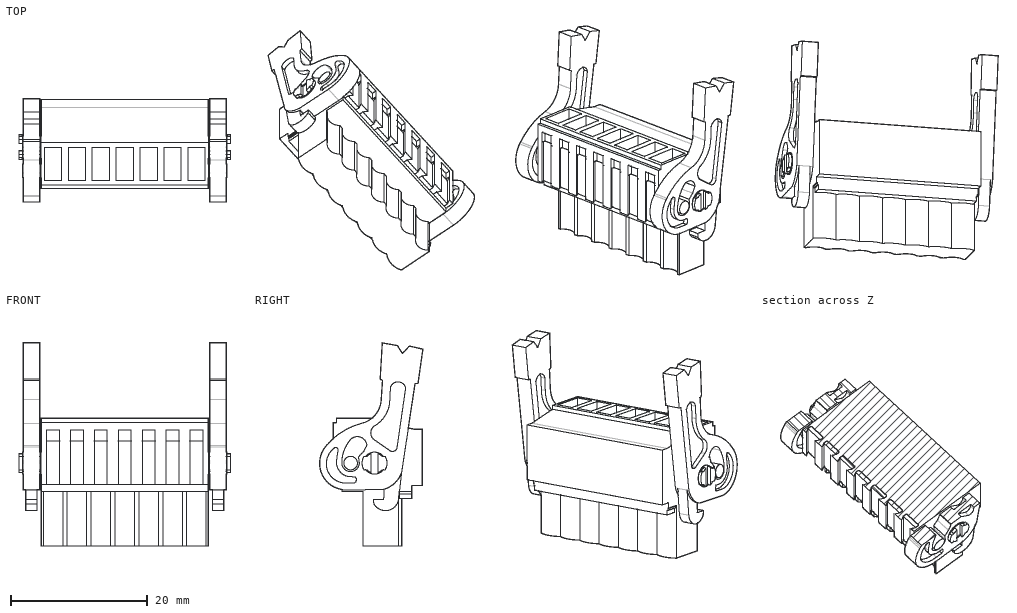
import cadquery as cq


POLES = 7
PITCH = 3.5
HOUSING_LENGTH = POLES * PITCH
TOTAL_LENGTH = 30.9

BACK_Y = 6.98
BACK_TOP_FLAT_Y = 5.78
BACK_TOP_Z = 4.97
SLOPE_END_Z = 6.0
TOWER_BACK_Y = 0.68
TOWER_TOP_Z = 6.58
TOWER_STEP = (0.5, 0.68)
FRONT_Y = -6.05
FRONT_BOTTOM_Z = -3.15
BAND_Y = -4.8
BAND_BOTTOM_Z = -4.17
BACK_BOTTOM_Z = -3.3
PLUG_FRONT_Y = -1.7
PLUG_BACK_Y = 4.0
PLUG_BOTTOM_Z = -12.1

RAIL_BACK_Y = 5.45
RAIL_BOTTOM_Z = -5.2
RAIL_STEP_Z = -4.5
RAIL_INSET = 0.12

FLUTE_CHORD = 2.85
FLUTE_DEPTH = 0.75
LOBE_DEPTH = 0.5
LOBE_BASE_Y = PLUG_BACK_Y - LOBE_DEPTH

POCKET_SIZE = (2.53, 4.88)
POCKET_CENTRE_Y = -2.47
POCKET_DEPTH = 2.07

SLOT_WIDTH = 1.85
SLOT_TOP_Z = 4.85
SLOT_DEPTH = 0.65
CLAMP_OVERHANG = 0.37
CLAMP_WIDTH = SLOT_WIDTH + 2 * CLAMP_OVERHANG
CLAMP_TOP_Z = 3.25

PIVOT_RADIUS = 1.6
TIP_RADIUS = 1.48
BARB_RADIUS = 1.82
BARB_HEIGHT = 1.98
PIN_SPLIT_WIDTH = 1.02
SHAFT_END_X = 14.95
PEG_RADIUS = 1.0
PEG_Y = -3.5

LEVER_INNER_X = 12.4
LEVER_OUTER_X = 14.83
HOOK_INNER_X = 12.8
HOOK_OUTER_X = 14.5
RECESS_DEPTH = 0.7

POLE_POSITIONS = [(i - (POLES - 1) / 2) * PITCH for i in range(POLES)]


def block(x_range, y_range, z_range):
    """A box given by its limits along each axis."""
    (x0, x1), (y0, y1), (z0, z1) = x_range, y_range, z_range
    return cq.Workplane("XY").box(x1 - x0, y1 - y0, z1 - z0, centered=False).translate((x0, y0, z0))


def centred_block(x, width, y_range, z_range):
    """A box centred on x."""
    return block((x - width / 2, x + width / 2), y_range, z_range)


def disc(radius, x0, x1, y=0):
    """A cylinder along X from x0 to x1, centred on the pivot height."""
    return cq.Workplane("YZ", origin=(x0, 0, 0)).center(y, 0).circle(radius).extrude(x1 - x0)


def arc_prism(x, chord, base_y, depth, bottom_z, top_z):
    """An upright prism: a circular segment bulging from base_y towards +Y."""
    return (
        cq.Workplane("XY", origin=(x, base_y, bottom_z))
        .moveTo(-chord / 2, 0)
        .threePointArc((0, depth), (chord / 2, 0))
        .close()
        .extrude(top_z - bottom_z)
    )


def housing_upper():
    step_y, step_z = TOWER_STEP
    outline = [
        (BACK_Y, BACK_BOTTOM_Z),
        (BACK_Y, BACK_TOP_Z),
        (BACK_TOP_FLAT_Y, BACK_TOP_Z),
        (TOWER_BACK_Y, SLOPE_END_Z),
        (TOWER_BACK_Y, TOWER_TOP_Z),
        (FRONT_Y + step_y, TOWER_TOP_Z),
        (FRONT_Y + step_y, TOWER_TOP_Z - step_z),
        (FRONT_Y, TOWER_TOP_Z - step_z),
        (FRONT_Y, FRONT_BOTTOM_Z),
        (BAND_Y, FRONT_BOTTOM_Z),
        (BAND_Y, BAND_BOTTOM_Z),
        (RAIL_BACK_Y, BAND_BOTTOM_Z),
        (RAIL_BACK_Y, BACK_BOTTOM_Z),
    ]
    half = HOUSING_LENGTH / 2
    return cq.Workplane("YZ", origin=(-half, 0, 0)).polyline(outline).close().extrude(HOUSING_LENGTH)


def housing_plug():
    """Lower block: fluted at the front, with rounded lobes at the back."""
    half = HOUSING_LENGTH / 2
    z_range = (PLUG_BOTTOM_Z, BAND_BOTTOM_Z)
    plug = block((-half, half), (PLUG_FRONT_Y, LOBE_BASE_Y), z_range)
    for x in POLE_POSITIONS:
        plug = plug.union(arc_prism(x, PITCH, LOBE_BASE_Y, LOBE_DEPTH, *z_range))
        plug = plug.cut(arc_prism(x, FLUTE_CHORD, PLUG_FRONT_Y, FLUTE_DEPTH, *z_range))
    return plug


def back_rail():
    """Stepped rail that stands on the back of the plug."""
    rail_y = (LOBE_BASE_Y, RAIL_BACK_Y)
    upper_length = HOUSING_LENGTH - 2 * RAIL_INSET
    lower_length = upper_length - 2 * RAIL_INSET
    upper = centred_block(0, upper_length, rail_y, (RAIL_STEP_Z, BAND_BOTTOM_Z))
    lower = centred_block(0, lower_length, rail_y, (RAIL_BOTTOM_Z, RAIL_STEP_Z))
    return upper.union(lower)


def pivot_pin():
    """Shaft and split, barbed tip at the +X end."""
    end_x = TOTAL_LENGTH / 2
    shaft = disc(PIVOT_RADIUS, HOUSING_LENGTH / 2, SHAFT_END_X)
    barb_limit = block(
        (SHAFT_END_X, end_x), (-BARB_RADIUS, BARB_RADIUS), (-BARB_HEIGHT / 2, BARB_HEIGHT / 2)
    )
    barbs = disc(BARB_RADIUS, SHAFT_END_X, end_x).intersect(barb_limit)
    tip = disc(TIP_RADIUS, SHAFT_END_X, end_x).union(barbs)
    split = block(
        (SHAFT_END_X, end_x),
        (-PIN_SPLIT_WIDTH / 2, PIN_SPLIT_WIDTH / 2),
        (-BARB_RADIUS, BARB_RADIUS),
    )
    return shaft.union(tip.cut(split))


def top_pocket(x):
    width, length = POCKET_SIZE
    y_range = (POCKET_CENTRE_Y - length / 2, POCKET_CENTRE_Y + length / 2)
    return centred_block(x, width, y_range, (TOWER_TOP_Z - POCKET_DEPTH, TOWER_TOP_Z))


def front_slot(x):
    """Slot in the front face that widens inwards to the clamp over the clamp's height."""
    straight = centred_block(
        x, SLOT_WIDTH, (FRONT_Y, FRONT_Y + SLOT_DEPTH), (FRONT_BOTTOM_Z, SLOT_TOP_Z)
    )
    dovetail = (
        cq.Workplane("XY", origin=(x, FRONT_Y, FRONT_BOTTOM_Z))
        .moveTo(-SLOT_WIDTH / 2, 0)
        .lineTo(SLOT_WIDTH / 2, 0)
        .lineTo(CLAMP_WIDTH / 2, SLOT_DEPTH)
        .lineTo(-CLAMP_WIDTH / 2, SLOT_DEPTH)
        .close()
        .extrude(CLAMP_TOP_Z - FRONT_BOTTOM_Z)
    )
    return straight.union(dovetail)


def make_housing():
    pin = pivot_pin()
    peg = disc(PEG_RADIUS, HOUSING_LENGTH / 2, SHAFT_END_X, PEG_Y)
    body = housing_upper().union(housing_plug()).union(back_rail())
    for feature in (pin, peg):
        body = body.union(feature).union(feature.mirror("YZ"))
    for x in POLE_POSITIONS:
        body = body.cut(top_pocket(x)).cut(front_slot(x)).cut(make_clamp(x))
    return body


def make_clamp(x):
    """Plate at the back of a front slot, filling the ledge above the band."""
    return centred_block(x, CLAMP_WIDTH, (FRONT_Y + SLOT_DEPTH, BAND_Y), (FRONT_BOTTOM_Z, CLAMP_TOP_Z))


def lever_plate():
    """Handle with a notched tip that widens into a rounded cam head."""
    return (
        cq.Workplane("YZ", origin=(LEVER_INNER_X, 0, 0))
        .moveTo(7.08, 16.65)
        .lineTo(5.1, 17.12)
        .lineTo(4.08, 16.05)
        .threePointArc((3.68, 16.65), (3.37, 17.18))
        .lineTo(1.1, 17.58)
        .lineTo(0.8, 12.27)
        .lineTo(1.15, 12.08)
        .lineTo(0.95, 9.3)
        .threePointArc((0.12, 7.08), (-1.9, 5.8))
        .threePointArc((-4.55, 4.7), (-7.05, 2.55))
        .lineTo(-7.23, 2.35)
        .threePointArc((-8.03, -0.3), (-4.15, -3.92))
        .lineTo(1.27, -3.85)
        .threePointArc((2.97, -2.9), (3.95, -1.35))
        .lineTo(5.93, 11.62)
        .lineTo(6.35, 11.62)
        .close()
        .extrude(LEVER_OUTER_X - LEVER_INNER_X)
    )


def lever_hook():
    """Narrower locking hook below the cam head."""
    return (
        cq.Workplane("YZ", origin=(HOOK_INNER_X, 0, 0))
        .moveTo(3.95, -1.35)
        .lineTo(3.52, -5.25)
        .threePointArc((1.9, -6.92), (-0.1, -5.95))
        .lineTo(-0.2, -5.3)
        .lineTo(1.33, -5.3)
        .lineTo(1.42, -3.7)
        .lineTo(1.42, -1.35)
        .close()
        .extrude(HOOK_OUTER_X - HOOK_INNER_X)
    )


def handle_recess():
    """Recess that follows the handle, cut RECESS_DEPTH deep."""
    return (
        cq.Workplane("YZ")
        .moveTo(4.55, 10.97)
        .threePointArc((3.37, 11.87), (2.32, 11.03))
        .lineTo(2.22, 9.15)
        .threePointArc((1.42, 6.75), (0.0, 5.45))
        .threePointArc((-0.55, 4.45), (-0.03, 3.4))
        .lineTo(2.3, 1.8)
        .threePointArc((2.9, 1.75), (3.3, 2.4))
        .close()
        .extrude(RECESS_DEPTH)
    )


def rim_recess():
    """Crescent-shaped recess near the rim of the cam head."""
    return (
        cq.Workplane("YZ")
        .moveTo(-5.35, 1.82)
        .threePointArc((-5.5, 2.22), (-6.0, 2.1))
        .threePointArc((-6.98, -0.68), (-4.0, -2.9))
        .lineTo(-2.95, -2.9)
        .threePointArc((-2.65, -2.47), (-2.85, -2.0))
        .lineTo(-3.77, -1.98)
        .threePointArc((-5.25, -1.0), (-5.55, 0.3))
        .close()
        .extrude(RECESS_DEPTH)
    )


def peg_track():
    """Through opening that guides the stop peg, necked between its two ends."""
    return (
        cq.Workplane("YZ", origin=(LEVER_INNER_X, 0, 0))
        .moveTo(-1.1, 2.63)
        .threePointArc((-2.38, 3.85), (-3.77, 3.1))
        .threePointArc((-4.55, 1.6), (-4.8, 0.0))
        .threePointArc((-3.52, -1.25), (-2.22, 0.0))
        .lineTo(-2.35, 0.93)
        .lineTo(-1.6, 1.67)
        .close()
        .extrude(LEVER_OUTER_X - LEVER_INNER_X)
    )


def make_lever():
    """Lever at the +X end."""
    lever = lever_plate().union(lever_hook()).cut(peg_track())
    lever = lever.cut(disc(PIVOT_RADIUS, LEVER_INNER_X, LEVER_OUTER_X))
    for recess in (handle_recess(), rim_recess()):
        lever = lever.cut(recess.translate((LEVER_INNER_X, 0, 0)))
        lever = lever.cut(recess.translate((LEVER_OUTER_X - RECESS_DEPTH, 0, 0)))
    return lever


housing = make_housing()
clamps = [make_clamp(x) for x in POLE_POSITIONS]
right_lever = make_lever()
left_lever = right_lever.mirror("YZ")

bodies = [housing, *clamps, right_lever, left_lever]
result = cq.Compound.makeCompound([body.solids().val() for body in bodies])